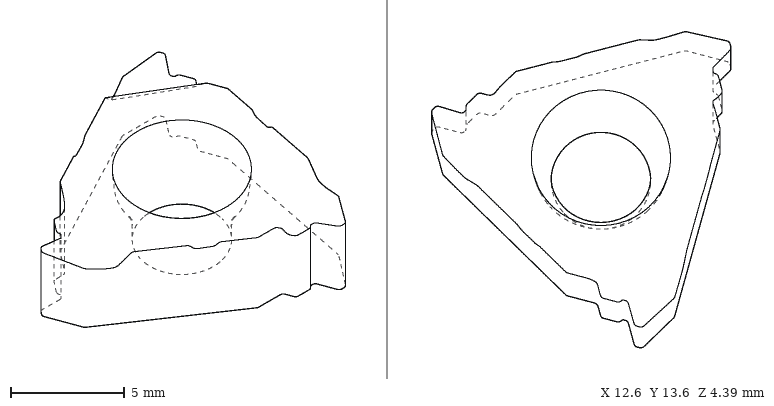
import cadquery as cq
import math

LOBES = 3
AXIS_START = (0, 0, 0)
AXIS_END = (0, 0, 1)
THICKNESS = 4.39
INSCRIBED_RADIUS = 9.525 / 2

LOWER_LONG_SIDE = -60
UPPER_LONG_SIDE = 60
FLANK_SIDE = -30
UNDERSIDE = -90
TIP_SIDE = 30

FLANK_DISTANCE = 5.44
TIP_SIDE_DISTANCE = 6.69
TIP_CREST_DISTANCE = 6.88
TIP_UNDERSIDE_Y = -0.49
STEP_Y = -1.59
STEP_CORNER_X = 6.02
NECK_FLOOR = (6.347, -0.70)
BODY_CORNER_RADIUS = 0.2
STEP_ROOT_RADIUS = 0.23
STEP_CORNER_RADIUS = 0.2
NECK_SHOULDER_RADIUS = 0.2
NECK_FLOOR_RADIUS = 0.1
NECK_ROOT_RADIUS = 0.18
TIP_RADIUS = 0.21
TIP_BASE_RADIUS = 0.28

THROAT_RADIUS = 4.4 / 2
MOUTH_RADIUS = 3.08
MOUTH_END_RADIUS = 3.0
MOUTH_DEPTH = 1.01
SEAT_RADIUS = 2.925
SEAT_CURVE_RADIUS = 4.0
THROAT_DEPTH = 3.55

GROOVE_YAW = 2.4
GROOVE_DISTANCE = 5.078
GROOVE_WALL_SLOPE = 55
GROOVE_DEPTH = 0.87
GROOVE_ROOT_RADIUS = 0.35
GROOVE_EDGE_RADIUS = 0.16
GROOVE_HALF_LENGTH = 6.0
ON_WALL_TOLERANCE = 0.001
ROOT_SEARCH = 0.9
CUTTER_OVERSHOOT = 5.0
RAKE_CUTTER_WIDTH = 40.0
RAKE_ANGLE = 10
RAKE_HEADING = -30
RAKE_POINT = (7.75, -0.3)
RAKE_POINT_DEPTH = 0.41

NOTCH_END = (-3.45, -0.59)
NOTCH_YAW = 14
NOTCH_RAMP = 10.3
NOTCH_FLOOR_WIDTH = 0.86
NOTCH_WALL_SLOPE = 45
NOTCH_ROOT_RADIUS = 0.3
NOTCH_RIM_RADIUS = 0.2
NOTCH_TOOL_HEIGHT = 1.0
NOTCH_TOOL_LENGTH = 2.0


def direction(angle):
    """Unit vector in the XY plane at an angle in degrees."""
    return math.cos(math.radians(angle)), math.sin(math.radians(angle))


def distance_along(point, angle):
    """How far a point lies from the axis, measured along a direction."""
    x, y = direction(angle)
    return point[0] * x + point[1] * y


def meeting_point(angle_a, distance_a, angle_b, distance_b):
    """Point where two lines, each given by its normal angle and distance from the axis, cross."""
    ax, ay = direction(angle_a)
    bx, by = direction(angle_b)
    determinant = ax * by - ay * bx
    x = (distance_a * by - distance_b * ay) / determinant
    y = (ax * distance_b - bx * distance_a) / determinant
    return x, y


def rotated(point, angle):
    """Point turned about the origin."""
    c, s = direction(angle)
    return c * point[0] - s * point[1], s * point[0] + c * point[1]


def corner_arc(before, corner, after, radius):
    """Start, middle and end of the arc that rounds one corner."""
    here = cq.Vector(*corner)
    back = (cq.Vector(*before) - here).normalized()
    ahead = (cq.Vector(*after) - here).normalized()
    half_angle = back.getAngle(ahead) / 2
    setback = radius / math.tan(half_angle)
    bisector = (back + ahead).normalized()
    middle = here + bisector * (radius / math.sin(half_angle) - radius)
    points = (here + back * setback, middle, here + ahead * setback)
    return [(p.x, p.y) for p in points]


def rounded_outline(plane, corners):
    """Closed wire through (point, radius) corners; a zero radius leaves the corner sharp."""
    sketch = cq.Workplane(plane)
    started = False
    for i, (point, radius) in enumerate(corners):
        stops = [point]
        if radius > 0:
            after = corners[(i + 1) % len(corners)][0]
            stops = corner_arc(corners[i - 1][0], point, after, radius)
        sketch = sketch.lineTo(*stops[0]) if started else sketch.moveTo(*stops[0])
        started = True
        if radius > 0:
            sketch = sketch.threePointArc(stops[1], stops[2])
    return sketch.close()


def lobe_corners():
    """Corners of the +X lobe with their radii, counterclockwise."""
    tip_underside = -TIP_UNDERSIDE_Y
    step_side = distance_along((STEP_CORNER_X, STEP_Y), FLANK_SIDE)
    neck_lower_side = distance_along(NECK_FLOOR, TIP_SIDE)
    neck_upper_side = distance_along(NECK_FLOOR, FLANK_SIDE)
    return [
        (meeting_point(LOWER_LONG_SIDE, INSCRIBED_RADIUS, FLANK_SIDE, FLANK_DISTANCE), BODY_CORNER_RADIUS),
        (meeting_point(FLANK_SIDE, FLANK_DISTANCE, UNDERSIDE, -STEP_Y), STEP_ROOT_RADIUS),
        ((STEP_CORNER_X, STEP_Y), STEP_CORNER_RADIUS),
        (meeting_point(FLANK_SIDE, step_side, TIP_SIDE, neck_lower_side), NECK_SHOULDER_RADIUS),
        (NECK_FLOOR, NECK_FLOOR_RADIUS),
        (meeting_point(FLANK_SIDE, neck_upper_side, UNDERSIDE, tip_underside), NECK_ROOT_RADIUS),
        (meeting_point(UNDERSIDE, tip_underside, FLANK_SIDE, TIP_CREST_DISTANCE), TIP_RADIUS),
        (meeting_point(FLANK_SIDE, TIP_CREST_DISTANCE, TIP_SIDE, TIP_SIDE_DISTANCE), TIP_RADIUS),
        (meeting_point(TIP_SIDE, TIP_SIDE_DISTANCE, UPPER_LONG_SIDE, INSCRIBED_RADIUS), TIP_BASE_RADIUS),
    ]


def make_body():
    """Solid prism of the three-lobed outline."""
    corners = []
    for lobe in range(LOBES):
        turn = lobe * 360 / LOBES
        corners += [(rotated(point, turn), radius) for point, radius in lobe_corners()]
    return rounded_outline("XY", corners).extrude(THICKNESS)


def make_hole():
    """Cutter for the screw hole, revolved about the hole axis."""
    seat_turn = math.acos(1 - (SEAT_RADIUS - THROAT_RADIUS) / SEAT_CURVE_RADIUS)
    throat_top = THICKNESS - THROAT_DEPTH
    seat_top = throat_top + SEAT_CURVE_RADIUS * math.sin(seat_turn)
    seat_middle = (
        THROAT_RADIUS + SEAT_CURVE_RADIUS * (1 - math.cos(seat_turn / 2)),
        throat_top + SEAT_CURVE_RADIUS * math.sin(seat_turn / 2),
    )
    return (
        cq.Workplane("XZ")
        .lineTo(0, THICKNESS)
        .lineTo(MOUTH_RADIUS, THICKNESS)
        .lineTo(MOUTH_END_RADIUS, THICKNESS - MOUTH_DEPTH)
        .tangentArcPoint((SEAT_RADIUS, seat_top), relative=False)
        .threePointArc(seat_middle, (THROAT_RADIUS, throat_top))
        .lineTo(THROAT_RADIUS, 0)
        .close()
        .revolve(360, (0, 0, 0), (0, 1, 0))
    )


def make_groove():
    """Cutter for the +X lobe: a level-floored groove whose floor gives way to the tilted rake face."""
    outward = direction(GROOVE_YAW)
    along = direction(GROOVE_YAW - 90)
    start = (-GROOVE_HALF_LENGTH * along[0], -GROOVE_HALF_LENGTH * along[1], THICKNESS)
    section = cq.Plane(origin=start, xDir=(*outward, 0), normal=(*along, 0))

    slope = math.radians(GROOVE_WALL_SLOPE)
    root_reach = GROOVE_DISTANCE + GROOVE_DEPTH / math.tan(slope)
    outer_reach = root_reach + CUTTER_OVERSHOOT
    inner_reach = GROOVE_DISTANCE - GROOVE_EDGE_RADIUS
    corners = [
        ((inner_reach, 0), 0),
        ((GROOVE_DISTANCE, 0), GROOVE_EDGE_RADIUS),
        ((root_reach, -GROOVE_DEPTH), 0),
        ((outer_reach, -GROOVE_DEPTH), 0),
        ((outer_reach, CUTTER_OVERSHOOT), 0),
        ((inner_reach, CUTTER_OVERSHOOT), 0),
    ]
    groove = rounded_outline(section, corners).extrude(2 * GROOVE_HALF_LENGTH)

    climb = math.tan(math.radians(RAKE_ANGLE))
    heading = direction(RAKE_HEADING)
    rake_plane = cq.Plane(
        origin=(*RAKE_POINT, THICKNESS - RAKE_POINT_DEPTH),
        xDir=(*direction(RAKE_HEADING + 90), 0),
        normal=(-climb * heading[0], -climb * heading[1], 1),
    )
    above_rake = (
        cq.Workplane(rake_plane)
        .rect(RAKE_CUTTER_WIDTH, RAKE_CUTTER_WIDTH)
        .extrude(2 * CUTTER_OVERSHOOT)
    )
    groove = groove.intersect(above_rake)

    def is_root_edge(edge):
        """True for the two edges where the wall meets the floor and the rake face."""
        center = edge.Center()
        reach = center.dot(cq.Vector(*outward))
        side = center.dot(cq.Vector(*along))
        depth = THICKNESS - center.z
        wall_reach = GROOVE_DISTANCE + depth / math.tan(slope)
        below_rounding = depth > 2 * GROOVE_EDGE_RADIUS
        on_wall = abs(reach - wall_reach) < ON_WALL_TOLERANCE
        return on_wall and below_rounding and abs(side) < ROOT_SEARCH * GROOVE_HALF_LENGTH

    return groove.edges().filter(is_root_edge).fillet(GROOVE_ROOT_RADIUS)


def make_notch():
    """Cutter for the -X side: a flaring channel whose floor ramps down from the top face to the side."""
    heading = direction(180 - NOTCH_YAW)
    sideways = direction(-90 - NOTCH_YAW)
    ramp = math.radians(NOTCH_RAMP)
    section = cq.Plane(
        origin=(*NOTCH_END, THICKNESS),
        xDir=(*sideways, 0),
        normal=(heading[0] * math.cos(ramp), heading[1] * math.cos(ramp), -math.sin(ramp)),
    )
    floor_half = NOTCH_FLOOR_WIDTH / 2
    rim_half = floor_half + NOTCH_TOOL_HEIGHT / math.tan(math.radians(NOTCH_WALL_SLOPE))
    corners = [
        ((-floor_half, 0), NOTCH_ROOT_RADIUS),
        ((floor_half, 0), NOTCH_ROOT_RADIUS),
        ((rim_half, NOTCH_TOOL_HEIGHT), 0),
        ((-rim_half, NOTCH_TOOL_HEIGHT), 0),
    ]
    return rounded_outline(section, corners).extrude(NOTCH_TOOL_LENGTH)


def cut_rounded_notch(body, turn):
    """Cut the notch turned about the hole axis and round its rim, which is one smooth chain of edges."""
    notched = body.cut(make_notch().rotate(AXIS_START, AXIS_END, turn))
    ramp_end = (*rotated(NOTCH_END, turn), THICKNESS)
    rim = notched.edges(cq.selectors.NearestToPointSelector(ramp_end))
    return rim.fillet(NOTCH_RIM_RADIUS)


result = make_body().cut(make_hole())
for lobe in range(LOBES):
    turn = lobe * 360 / LOBES
    result = cut_rounded_notch(result, turn)
    result = result.cut(make_groove().rotate(AXIS_START, AXIS_END, turn))